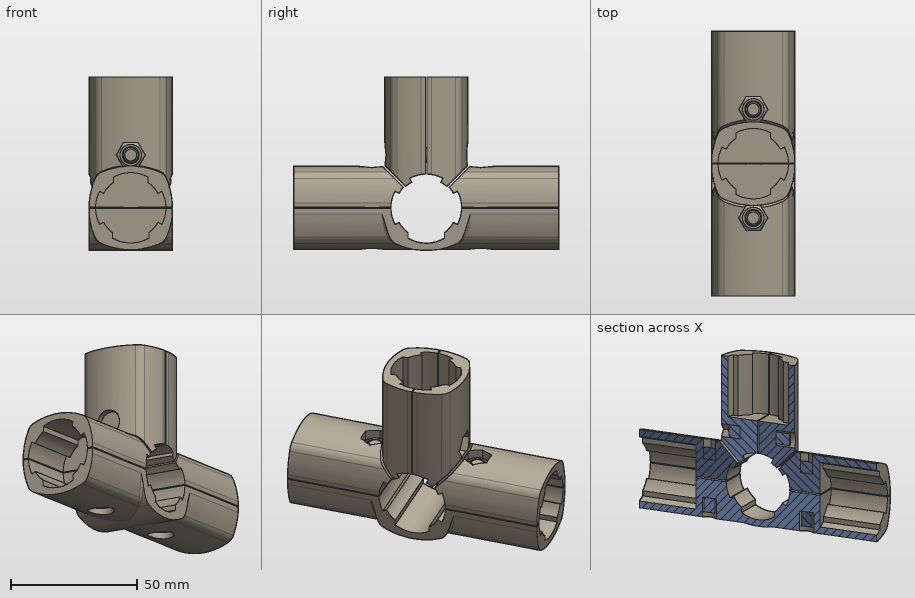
import cadquery as cq
import math

RUN_LENGTH = 105.0
SIDE = 16.5
SPLIT_GAP = 0.4
MITRE_CLEARANCE = 0.9
STEM_DROP = 0.6
ARM_LENGTH = RUN_LENGTH / 2

BOW_RADIUS = 28.8
UPPER_STRIP = 2.0
LOWER_STRIP = 2.5
BOSS_SIDE = 16.8
CORNER_RADIUS = 5.0

BORE_RADIUS = 14.0
RIDGE_RADIUS = 12.2
RIDGE_ANGLE = 28.0
UPPER_RIDGE_WALL = 6.8
LOWER_RIDGE_WALL = 7.1
BORE_FLOOR = 27.5

BOSS_FILLET = 0.8

BOLT_OFFSET = 21.5
BOLT_DIAMETER = 6.0
BOLT_CHAMFER = 0.6
BOLT_END = 13.6
HEAD_DIAMETER = 10.0
HEAD_HEIGHT = 6.0
COUNTERBORE_DIAMETER = 10.5
SEAT = 8.1
NUT_FLATS = 10.0
NUT_CORNERS = NUT_FLATS / math.cos(math.pi / 6)
NUT_HEIGHT = 5.0
NUT_FACE_DIAMETER = 8.5
NUT_CHAMFER_ANGLE = 30.0
NUT_COUNTERSINK = 6.7


def half_outline(plane, side, strip):
    """Upper half of a rounded square with bowed sides, flattened next to the split plane."""
    bow_offset = math.sqrt(BOW_RADIUS**2 - strip**2) - side
    crest = BOW_RADIUS - bow_offset
    corner_reach = BOW_RADIUS - CORNER_RADIUS
    corner = (math.sqrt(2 * corner_reach**2 - bow_offset**2) - bow_offset) / 2
    tangent_u = corner * BOW_RADIUS / corner_reach
    tangent_v = (corner + bow_offset) * BOW_RADIUS / corner_reach - bow_offset
    corner_mid = corner + CORNER_RADIUS / math.sqrt(2)
    flank_v = (strip + tangent_u) / 2
    flank_u = math.sqrt(BOW_RADIUS**2 - flank_v**2) - bow_offset
    return (
        cq.Workplane(plane)
        .moveTo(-side, 0)
        .lineTo(-side, strip)
        .threePointArc((-flank_u, flank_v), (-tangent_v, tangent_u))
        .threePointArc((-corner_mid, corner_mid), (-tangent_u, tangent_v))
        .threePointArc((0, crest), (tangent_u, tangent_v))
        .threePointArc((corner_mid, corner_mid), (tangent_v, tangent_u))
        .threePointArc((flank_u, flank_v), (side, strip))
        .lineTo(side, 0)
        .close()
    )


def half_bore(plane, ridge_wall, length):
    """Upper half of a bore with two 45 degree ridges, extruded from the plane."""
    bore = (
        cq.Workplane(plane)
        .moveTo(-BORE_RADIUS, -SPLIT_GAP)
        .lineTo(-BORE_RADIUS, 0)
        .threePointArc((0, BORE_RADIUS), (BORE_RADIUS, 0))
        .lineTo(BORE_RADIUS, -SPLIT_GAP)
        .close()
        .extrude(length)
    )
    reach = 2 * BORE_RADIUS
    start_angle = math.radians(RIDGE_ANGLE)
    end_angle = math.acos(ridge_wall / RIDGE_RADIUS)
    mid_angle = (start_angle + end_angle) / 2
    for hand in (-1, 1):
        start, mid, end = (
            (hand * RIDGE_RADIUS * math.cos(angle), RIDGE_RADIUS * math.sin(angle))
            for angle in (start_angle, mid_angle, end_angle)
        )
        ridge = (
            cq.Workplane(plane)
            .moveTo(*start)
            .threePointArc(mid, end)
            .lineTo(hand * ridge_wall, reach)
            .lineTo(hand * reach * math.cos(start_angle), reach * math.sin(start_angle))
            .close()
            .extrude(length)
        )
        bore = bore.cut(ridge)
    return bore


def along_y(start):
    """Plane at Y = start: across, then up, with extrusion along +Y."""
    return cq.Plane(origin=(0, start, 0), xDir=(-1, 0, 0), normal=(0, 1, 0))


def along_x(start):
    """Plane at X = start: across, then up, with extrusion along +X."""
    return cq.Plane(origin=(start, 0, 0), xDir=(0, 1, 0), normal=(1, 0, 0))


def above_split(shape):
    """Remove the clearance next to the split plane."""
    slab = cq.Workplane("XY").box(2 * RUN_LENGTH, 2 * RUN_LENGTH, SPLIT_GAP)
    return shape.cut(slab)


def socket_cutter(ridge_wall):
    """Half of the through socket along X."""
    return half_bore(along_x(-ARM_LENGTH), ridge_wall, RUN_LENGTH)


def bolt_hole():
    """Close-fitting hole upwards from the split plane of the +Y arm."""
    return cq.Workplane("XY").center(0, BOLT_OFFSET).circle(BOLT_DIAMETER / 2).extrude(ARM_LENGTH)


def nut_pocket():
    """Hexagonal recess that fits the nut."""
    seat = cq.Workplane("XY", origin=(0, BOLT_OFFSET, SEAT))
    return seat.polygon(6, NUT_CORNERS).extrude(ARM_LENGTH)


def head_counterbore():
    """Round recess around the bolt head."""
    seat = cq.Workplane("XY", origin=(0, BOLT_OFFSET, SEAT))
    return seat.circle(COUNTERBORE_DIAMETER / 2).extrude(ARM_LENGTH)


def half_run(strip):
    """Solid half bar along +Y from the X axis."""
    return half_outline(along_y(0), SIDE, strip).extrude(ARM_LENGTH)


def arm_cuts(ridge_wall, seat_recess):
    """Blind keyed bore, bolt hole and fastener recess of the +Y arm."""
    bore = half_bore(along_y(BORE_FLOOR), ridge_wall, ARM_LENGTH)
    return bore.union(bolt_hole()).union(seat_recess)


def clamp_half(seat_recess):
    """Mitred half shell along +Y whose end wraps part of the X socket."""
    mitre_end = ARM_LENGTH + MITRE_CLEARANCE
    beyond_mitre = (
        cq.Workplane("YZ")
        .polyline([(MITRE_CLEARANCE, 0), (-ARM_LENGTH, 0), (-ARM_LENGTH, ARM_LENGTH), (mitre_end, ARM_LENGTH)])
        .close()
        .extrude(ARM_LENGTH, both=True)
    )
    shell = half_run(UPPER_STRIP).cut(beyond_mitre).cut(arm_cuts(UPPER_RIDGE_WALL, seat_recess))
    return above_split(shell.cut(socket_cutter(UPPER_RIDGE_WALL)))


def saddle():
    """Full-length shell below the split plane, with the boss of the X socket."""
    arm = half_run(LOWER_STRIP)
    long_boss = half_outline(along_x(-ARM_LENGTH), BOSS_SIDE, LOWER_STRIP).extrude(RUN_LENGTH)
    body = arm.union(arm.mirror("XZ")).union(long_boss)
    flank_height = SIDE / 2
    inside_corners = [(x, y, flank_height) for x in (-SIDE, SIDE) for y in (-SIDE, SIDE)]
    flank_edges = [body.edges(cq.selectors.NearestToPointSelector(spot)).val() for spot in inside_corners]
    body = body.newObject(flank_edges).fillet(BOSS_FILLET)
    body = body.intersect(cq.Workplane("XY").box(2 * SIDE, RUN_LENGTH, RUN_LENGTH))
    cuts = arm_cuts(LOWER_RIDGE_WALL, head_counterbore())
    body = body.cut(cuts).cut(cuts.mirror("XZ")).cut(socket_cutter(LOWER_RIDGE_WALL))
    return above_split(body).mirror("XY")


def bolt():
    """Bolt with a round head below the split plane."""
    base = cq.Workplane("XY", origin=(0, BOLT_OFFSET, -SEAT))
    shank = base.circle(BOLT_DIAMETER / 2).extrude(SEAT + BOLT_END).faces(">Z").chamfer(BOLT_CHAMFER)
    return shank.union(base.circle(HEAD_DIAMETER / 2).extrude(-HEAD_HEIGHT))


def nut():
    """Hexagon nut with a chamfered and countersunk outer face."""
    radius = NUT_CORNERS / 2
    face_radius = NUT_FACE_DIAMETER / 2
    drop = (radius - face_radius) * math.tan(math.radians(NUT_CHAMFER_ANGLE))
    hexagon = cq.Workplane("XY").polygon(6, NUT_CORNERS).extrude(NUT_HEIGHT)
    hole_radius = BOLT_DIAMETER / 2
    sink_radius = NUT_COUNTERSINK / 2
    turned = (
        cq.Workplane("XZ")
        .polyline([(hole_radius, 0), (radius, 0), (radius, NUT_HEIGHT - drop), (face_radius, NUT_HEIGHT),
                   (sink_radius, NUT_HEIGHT), (hole_radius, NUT_HEIGHT - (sink_radius - hole_radius))])
        .close()
        .revolve(360, (0, 0, 0), (0, 1, 0))
    )
    return hexagon.intersect(turned).translate((0, BOLT_OFFSET, SEAT))


def on_near_arm(body):
    """Swing a body from the +Y arm round to the -Y arm."""
    return body.rotate((0, 0, 0), (0, 0, 1), 180)


def on_stem(body):
    """Turn a body from the +Y arm up to the stem, its upper side facing -Y."""
    return body.rotate((0, 0, 0), (1, 0, 0), 90).translate((0, 0, -STEM_DROP))


def on_arms(body):
    """One copy for each arm of the run."""
    return [body, on_near_arm(body)]


nut_half = clamp_half(nut_pocket())
head_half = clamp_half(head_counterbore())

lower_shell = saddle()
arm_shells = on_arms(nut_half)
stem_front = on_stem(nut_half)
stem_back = on_stem(head_half.mirror("XY"))

arm_bolts = on_arms(bolt())
arm_nuts = on_arms(nut())
stem_fastener = on_stem(bolt().union(nut()))

bodies = [lower_shell, *arm_shells, stem_front, stem_back, *arm_bolts, *arm_nuts, stem_fastener]
result = cq.Compound.makeCompound([body.solids().val() for body in bodies])